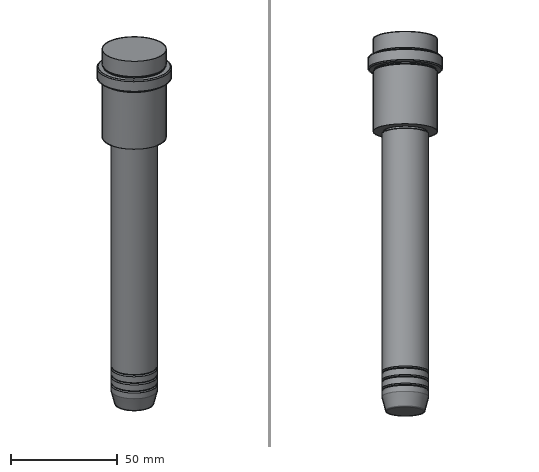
import cadquery as cq
import math

length = 180.0

head_radius = 15.03
head_length = 44.6
collar_radius = 17.5
collar_top_depth = 8.8
collar_height = 6.0
collar_chamfer = 0.5
relief_width = 0.5
relief_depth = 0.5

neck_radius = 10.3
neck_length = 1.0

shank_radius = 11.0
ring_groove_width = 1.0
ring_groove_depth = 0.5
lowest_groove_height = 10.5
groove_pitch = 4.1
groove_count = 3
tip_height = 7.0
tip_angle = 15.0
tip_fillet = 0.5

head_bottom = length - head_length
shank_top = head_bottom - neck_length
collar_top = length - collar_top_depth
collar_bottom = collar_top - collar_height
tip_radius = shank_radius - tip_height * math.tan(math.radians(tip_angle))


def cylinder(radius, bottom, height):
    return cq.Workplane("XY").workplane(offset=bottom).circle(radius).extrude(height)


def make_shank():
    tip_and_shank = (
        cq.Workplane("XZ")
        .moveTo(0, 0)
        .lineTo(tip_radius, 0)
        .lineTo(shank_radius, tip_height)
        .lineTo(shank_radius, shank_top)
        .lineTo(0, shank_top)
        .close()
        .revolve(360, (0, 0, 0), (0, 1, 0))
    )
    shank = tip_and_shank.faces("<Z").edges().fillet(tip_fillet)
    for index in range(groove_count):
        center = lowest_groove_height + index * groove_pitch
        shank = shank.cut(ring_groove(center))
    return shank


def ring_groove(center):
    """Cutter for a V-shaped groove running around the shank."""
    half_width = ring_groove_width / 2
    return (
        cq.Workplane("XZ")
        .moveTo(shank_radius, center - half_width)
        .lineTo(shank_radius - ring_groove_depth, center)
        .lineTo(shank_radius, center + half_width)
        .close()
        .revolve(360, (0, 0, 0), (0, 1, 0))
    )


def make_head():
    cap = cylinder(head_radius, collar_top + relief_width, length - collar_top - relief_width)
    body = cylinder(head_radius, head_bottom, collar_bottom - relief_width - head_bottom)
    cap = cap.faces("<Z").edges().chamfer(relief_depth)
    core = cylinder(head_radius - relief_depth, head_bottom, head_length)
    collar = cylinder(collar_radius, collar_bottom, collar_height)
    collar = collar.edges().chamfer(collar_chamfer)
    body = body.faces(">Z").edges().chamfer(relief_depth)
    return core.union(cap).union(body).union(collar)


neck = cylinder(neck_radius, shank_top, neck_length)
result = make_shank().union(neck).union(make_head())